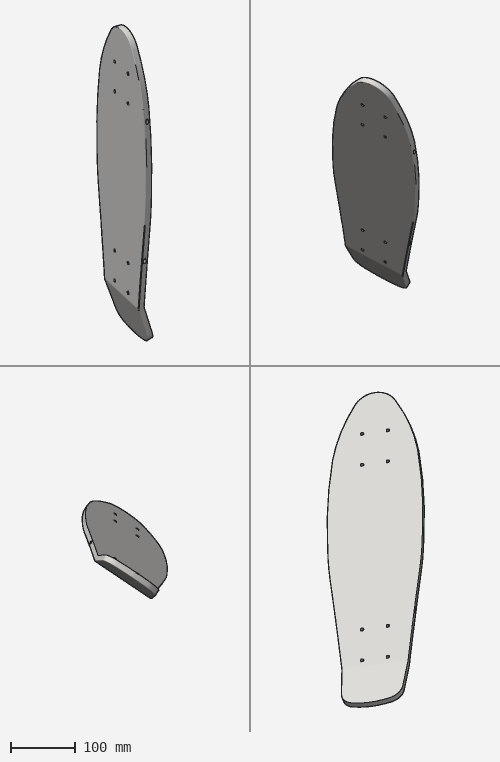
import cadquery as cq

deck_length = 478.5
deck_width = 153.5
thickness = 10.0
tail_length = 81.0
tail_angle = 17.3
bend_radius = 11.0
edge_fillet = 1.0

bend_half_width = 53.0
nose_tip = (0, deck_length)
nose_mid = (19.0, 473.5)
nose_end = (33.0, 459.5)
shoulder_mid = (55.0, 416.5)
shoulder_end = (68.0, 369.0)
widest_point = (deck_width / 2, 255.0)
flank_end = (76.0, 219.0)
waist_mid = (75.0, 189.5)
waist_end = (72.0, 160.5)
taper_mid = (62.0, 79.0)
taper_end = (bend_half_width, 0)

tail_half_width = 48.0
tail_bow = 10.0
tail_corner_radius = 25.0

hole_diameter = 5.0
hole_spacing_x = 41.5
hole_spacing_z = 54.0
truck_heights = (381.5, 38.5)

tunnel_diameter = hole_diameter
tunnel_depth = thickness / 2
tunnel_upper_mouth = (71.0, 347.0)
tunnel_lower_mouth = (63.5, 89.5)
tunnel_overrun = 17.0


def finish_plate(half):
    """Mirror a half plate and fillet the rim of its riding face, except where it meets the bend."""
    plate = half.union(half.mirror("YZ"))
    return plate.faces("<Y").edges("not |X").fillet(edge_fillet)


def make_deck():
    """Flat main plate above the bend."""
    half_deck = (
        cq.Workplane("XZ")
        .moveTo(*nose_tip)
        .threePointArc(nose_mid, nose_end)
        .threePointArc(shoulder_mid, shoulder_end)
        .threePointArc(widest_point, flank_end)
        .threePointArc(waist_mid, waist_end)
        .threePointArc(taper_mid, taper_end)
        .lineTo(0, 0)
        .close()
        .extrude(-thickness)
    )
    return finish_plate(half_deck)


def make_bend():
    """Curved strip between deck and tail, turned about an X axis behind the board."""
    section = (
        cq.Workplane("XY")
        .moveTo(bend_half_width - edge_fillet, 0)
        .radiusArc((bend_half_width, edge_fillet), -edge_fillet)
        .lineTo(bend_half_width, thickness)
        .lineTo(-bend_half_width, thickness)
        .lineTo(-bend_half_width, edge_fillet)
        .radiusArc((edge_fillet - bend_half_width, 0), -edge_fillet)
        .close()
    )
    return section.revolve(tail_angle, (0, bend_radius), (1, bend_radius))


def make_tail():
    """Flat tail plate, tilted to continue the bend."""
    corner_height = tail_bow - tail_length
    half_tail = (
        cq.Workplane("XZ")
        .lineTo(bend_half_width, 0)
        .lineTo(tail_half_width, corner_height)
        .threePointArc((tail_half_width / 2, tail_bow / 4 - tail_length), (0, -tail_length))
        .close()
        .extrude(-thickness)
    )
    corner = cq.NearestToPointSelector((tail_half_width, thickness / 2, corner_height))
    half_tail = half_tail.edges(corner).fillet(tail_corner_radius)
    return finish_plate(half_tail).rotate((0, bend_radius, 0), (1, bend_radius, 0), tail_angle)


def make_truck_holes(height):
    """Four mounting holes of one truck, centred at the given height."""
    return (
        cq.Workplane("XZ", origin=(0, 0, height))
        .rarray(hole_spacing_x, hole_spacing_z, 2, 2)
        .circle(hole_diameter / 2)
        .extrude(-thickness)
    )


def make_tunnel(side):
    """Straight bore from the upper mouth on one side (-1 or 1) to the lower mouth on the other."""
    start = cq.Vector(side * tunnel_upper_mouth[0], tunnel_depth, tunnel_upper_mouth[1])
    end = cq.Vector(-side * tunnel_lower_mouth[0], tunnel_depth, tunnel_lower_mouth[1])
    span = end - start
    direction = span.normalized()
    bore = cq.Solid.makeCylinder(
        tunnel_diameter / 2,
        span.Length + 2 * tunnel_overrun,
        start - direction * tunnel_overrun,
        direction,
    )
    return cq.Workplane(bore)


result = make_deck().union(make_bend()).union(make_tail())
for height in truck_heights:
    result = result.cut(make_truck_holes(height))
for side in (-1, 1):
    result = result.cut(make_tunnel(side))